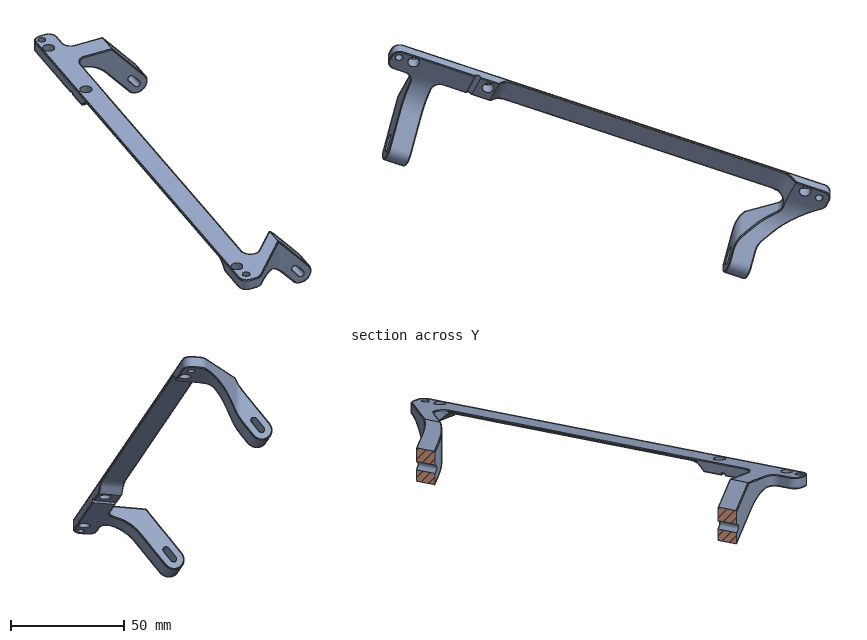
import math

import cadquery as cq

length = 210.25
depth = 45.4
height = 27.45

bar_width = 10.5
end_thickness = 5.25
thin_thickness = 1.25
left_corner_radius = 4.0
right_corner_radius = 4.0
neck_fillet = 4.2

edge_chamfer = 0.4

relief_start = 49.9
relief_end = 192.6
relief_step = end_thickness - thin_thickness
relief_fillet = 5.0

groove_x = 39.9
groove_radius = 1.3

arm_width = 10.2
left_arm_x = 13.4
right_arm_x = 176.8
arm_end_radius = 5.0
tip_y = depth - arm_end_radius
tip_z = arm_end_radius - height
arm_slope = math.radians(50)
right_arm_bend_y = 30.2
right_arm_lean = math.radians(42.6)
right_arm_inner_bend_y = 31.0
outer_bend_radius = 7.0
inner_bend_radius = 5.0

slot_width = 3.0
slot_travel = 5.0

bar_holes = [
    (3.5, 3.4, 3.3),
    (10.4, 3.3, 5.2),
    (46.4, 3.9, 5.2),
    (198.3, 3.2, 5.2),
    (205.5, 4.2, 3.3),
]


def round_corners(shape, corners, radius):
    """Round the vertical edges standing at the given plan corners."""
    for x, y in corners:
        corner = cq.selectors.NearestToPointSelector((x, y, -height / 2))
        shape = shape.edges("|Z").edges(corner).fillet(radius)
    return shape


def make_plan():
    """Plan shape of bar and arms together, full height."""
    left_arm_right = left_arm_x + arm_width
    right_arm_right = right_arm_x + arm_width
    lean_run = 1 / math.tan(right_arm_lean)
    inner_corner_x = right_arm_x + (right_arm_inner_bend_y - bar_width) * lean_run
    outer_corner_y = right_arm_bend_y - (length - right_arm_right) / lean_run
    outline = [
        (0, 0),
        (length, 0),
        (length, outer_corner_y),
        (right_arm_right, right_arm_bend_y),
        (right_arm_right, depth),
        (right_arm_x, depth),
        (right_arm_x, right_arm_inner_bend_y),
        (inner_corner_x, bar_width),
        (left_arm_right, bar_width),
        (left_arm_right, depth),
        (left_arm_x, depth),
        (left_arm_x, bar_width),
        (0, bar_width),
    ]

    plan = cq.Workplane("XY").polyline(outline).close().extrude(-height)

    plan = round_corners(plan, [(0, 0), (0, bar_width)], left_corner_radius)
    plan = round_corners(plan, [(length, 0), (length, outer_corner_y)], right_corner_radius)
    plan = round_corners(plan, [(right_arm_x, right_arm_inner_bend_y)], outer_bend_radius)
    plan = round_corners(plan, [(right_arm_right, right_arm_bend_y)], inner_bend_radius)
    necks = [(left_arm_x, bar_width), (left_arm_right, bar_width), (inner_corner_x, bar_width)]
    return round_corners(plan, necks, neck_fillet)


def make_side_profile():
    """Flat bar section blending into the sloping arm, swept along X."""
    sin_slope = math.sin(arm_slope)
    cos_slope = math.cos(arm_slope)
    upper_tangent = (tip_y + arm_end_radius * sin_slope, tip_z + arm_end_radius * cos_slope)
    lower_tangent = (tip_y - arm_end_radius * sin_slope, tip_z - arm_end_radius * cos_slope)
    tip_end = (tip_y + arm_end_radius * cos_slope, tip_z - arm_end_radius * sin_slope)
    fold_y = upper_tangent[0] + upper_tangent[1] * cos_slope / sin_slope

    meeting_y = lower_tangent[0] - (-end_thickness - lower_tangent[1]) * cos_slope / sin_slope
    tangent_length = meeting_y - bar_width
    arc_radius = tangent_length / math.tan(arm_slope / 2)
    arc_middle = (
        bar_width + arc_radius * math.sin(arm_slope / 2),
        -end_thickness - arc_radius * (1 - math.cos(arm_slope / 2)),
    )
    arc_end = (
        meeting_y + tangent_length * cos_slope,
        -end_thickness - tangent_length * sin_slope,
    )
    return (
        cq.Workplane("YZ")
        .moveTo(0, 0)
        .lineTo(fold_y, 0)
        .lineTo(*upper_tangent)
        .threePointArc(tip_end, lower_tangent)
        .lineTo(*arc_end)
        .threePointArc(arc_middle, (bar_width, -end_thickness))
        .lineTo(0, -end_thickness)
        .close()
        .extrude(length)
    )


def make_relief():
    """Material removed under the bar, with 45 degree ends rounded at the top."""
    relief = (
        cq.Workplane("XZ")
        .moveTo(relief_start, -height)
        .lineTo(relief_start, -end_thickness)
        .lineTo(relief_start + relief_step, -thin_thickness)
        .lineTo(relief_end - relief_step, -thin_thickness)
        .lineTo(relief_end, -end_thickness)
        .lineTo(relief_end, -height)
        .close()
        .extrude(-bar_width - neck_fillet)
    )
    return relief.edges("|Y and >Z").fillet(relief_fillet)


def chamfer_relief_front(shape):
    """Break the front edge left by the relief, along its ramps and flat."""
    margin = 0.1
    box = cq.selectors.BoxSelector(
        (relief_start, -margin, -end_thickness),
        (relief_end, margin, -thin_thickness + margin),
    )
    return shape.edges(box).edges("not |Y").chamfer(edge_chamfer)


def make_rear_bevel():
    """Wedge that breaks the rear lower edge of the thin bar, between the ramps."""
    return (
        cq.Workplane("YZ", origin=(relief_start + relief_step, bar_width, -thin_thickness))
        .lineTo(-edge_chamfer, 0)
        .lineTo(0, edge_chamfer)
        .close()
        .extrude(relief_end - relief_start - 2 * relief_step)
    )


def make_groove():
    """Half-round groove across the underside."""
    return (
        cq.Workplane("XZ")
        .center(groove_x, -end_thickness)
        .circle(groove_radius)
        .extrude(-bar_width)
    )


def make_slots():
    """Slot through both arm tips, running along the arm slope."""
    center_y = tip_y - slot_travel / 2 * math.cos(arm_slope)
    center_z = tip_z + slot_travel / 2 * math.sin(arm_slope)
    return (
        cq.Workplane("YZ")
        .center(center_y, center_z)
        .slot2D(slot_travel + slot_width, slot_width, -math.degrees(arm_slope))
        .extrude(length)
    )


def make_holes():
    """Vertical holes through the bar."""
    holes = cq.Workplane("XY")
    for x, y, diameter in bar_holes:
        holes = holes.add(cq.Workplane("XY").center(x, y).circle(diameter / 2).extrude(-height))
    return holes.combine()


body = make_plan().intersect(make_side_profile())
body = body.edges("not (|Z or |X)").chamfer(edge_chamfer)
body = chamfer_relief_front(body.cut(make_relief()))
body = body.cut(make_rear_bevel())
result = body.cut(make_groove()).cut(make_slots()).cut(make_holes())